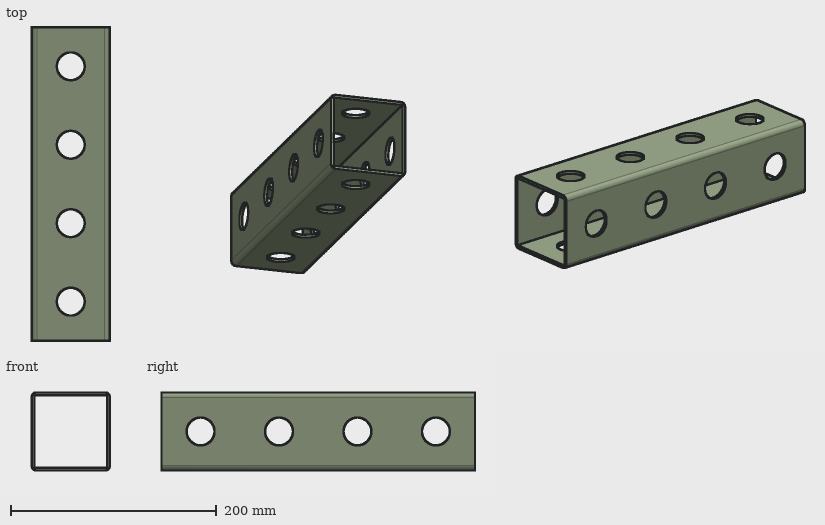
import cadquery as cq

length = 304.8
side = 76.2
wall = 3.0
outer_radius = 5.2
bore_side = side - 2 * wall

hole_diameter = 26.8
hole_count = 4
hole_pitch = length / hole_count


def hole_row(plane, columns, rows):
    """Row of cylinders along Y that pass through both walls facing the plane."""
    return (
        cq.Workplane(plane)
        .rarray(hole_pitch, hole_pitch, columns, rows)
        .circle(hole_diameter / 2)
        .extrude(side, both=True)
    )


outer_bar = cq.Workplane("XY").box(side, length, side).edges("|Y").fillet(outer_radius)
bore = cq.Workplane("XY").box(bore_side, length, bore_side)
tube = outer_bar.cut(bore)

vertical_holes = hole_row("XY", 1, hole_count)
sideways_holes = hole_row("YZ", hole_count, 1)

result = tube.cut(vertical_holes).cut(sideways_holes)